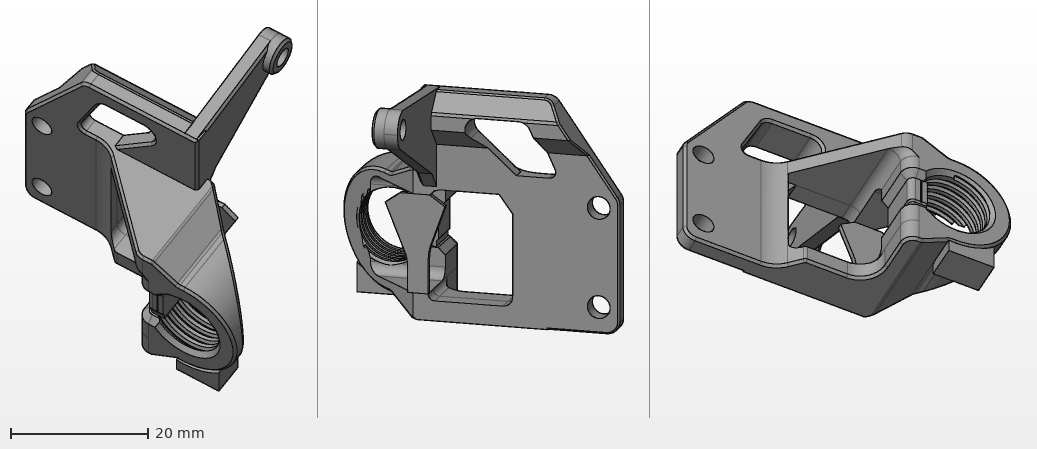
import cadquery as cq
import math

ARM_HEIGHT = 22.95
EDGE_CHAMFER = 0.4
BACK_CHAMFER = 0.3

PLATE_FRONT = 14.45
PLATE_BACK = 17.15
PLATE_RIGHT = 30.15
PLATE_TOP = 35.0
SLANT_BOTTOM_Z = 20.25
SLANT_TOP_X = 10.35
PLATE_CORNER_RADIUS = 2.0
SCREW_X = 3.15
SCREW_HEIGHTS = (4.0, 19.05)
SCREW_RADIUS = 1.7

BAND_BACK = 20.05
BAND_LOW = 26.8
BAND_FACE_LOW = 29.7
BAND_FACE_HIGH = 32.15

CUTOUT_TOP = 31.95
CUTOUT_LOW_LEFT = 9.15
CUTOUT_LOW_RIGHT = 15.6
CUTOUT_HIGH_LEFT = 13.25
CUTOUT_HIGH_RIGHT = 25.7
CUTOUT_LOW_RADIUS = 0.95
CUTOUT_HIGH_RADIUS = 1.9

LUG_LEFT = 27.7
LUG_EYE_Y = 34.95
LUG_EYE_Z = 33.73
LUG_EYE_RADIUS = 2.95
LUG_HOLE_RADIUS = 1.52
LUG_EYE_RIGHT = 31.7
LUG_KNEE = (19.7, 23.0)
LUG_FOOT_Z = 20.37

ARM_FRONT_SUM = 29.1
ARM_BACK_SUM = 48.45
ARM_ROOT_OVERLAP = 3.7
ARM_ROOT_FILLET = 5.1
ARM_NOSE_RADIUS = 2.15

RING_X = 37.15
RING_Z = ARM_HEIGHT / 2
RING_RADIUS = 9.05
BORE_RADIUS = 5.65
BORE_CHAMFER = 0.75
SHOULDER_X = 31.7
SHOULDER_FILLET = 0.8
NECK_FILLET = 0.92
NECK_X = 36.1
THREAD_PITCH = 1.4
THREAD_DEPTH = 0.5
THREAD_GROOVE_WIDTH = 0.85
THREAD_ROOT_WIDTH = 0.2
THREAD_OVERLAP = 0.1
THREAD_START_Y = 0.6
THREAD_LENGTH = 11.1

WINDOW_LEFT = 16.2
WINDOW_RIGHT = 29.0
WINDOW_FLOOR = 3.05
WINDOW_CEILING = 19.9
CEILING_FILLET = 1.95
FLOOR_FILLET = 1.5
BLOCK_CORNER_RADIUS = 2.05
FLOOR_EDGE_Y = 11.05
FLOOR_EDGE_FILLET = 4.05
FLOOR_EDGE_NOSE = 0.8
GUSSET_WIDTH = 2.05
GUSSET_HEIGHT = 2.75

SIDE_WINDOW_FRONT = 8.1
SIDE_WINDOW_FLOOR = 4.0
SIDE_WINDOW_CEILING = 19.05
SIDE_WINDOW_FILLET = 1.65
SIDE_WINDOW_OVERLAP = 0.45

MOUTH_LOW = 8.55
MOUTH_HIGH = 14.45
MOUTH_FLARE = 1.05
WEB_GAP = 0.15
WEB_RIGHT = 32.95
WEB_FOOT_HEIGHT = 1.1
WEB_FOOT_INSET = 0.3
WEB_GROOVE_X = 31.9
WEB_GROOVE_WIDTH = 0.2
WEB_GROOVE_DEPTH = 0.45

BRACE_X = 31.0
BRACE_THICKNESS = 0.8
BRACE_STEM_RIGHT = 32.1
BRACE_TOP_HALF = 2.2
BRACE_WING_HALF = 4.55
BRACE_WING_Z = 17.4
BRACE_WAIST_LEFT_Z = 10.4
BRACE_WAIST_RIGHT_Z = 9.0
BRACE_WAIST_RADIUS = 6.95

FOOT_LEFT = 35.9
FOOT_RIGHT = 43.3
FOOT_DEPTH = 5.1
FOOT_GAP = 0.25

MARGIN = 2.3
TINY = 0.005
REACH = 55.45


def box(x0, x1, y0, y1, z0, z1):
    """Axis-aligned box between the given limits."""
    return cq.Workplane("XY").box(x1 - x0, y1 - y0, z1 - z0, centered=False).translate((x0, y0, z0))


def front_profile(y):
    """Workplane facing -Y at depth y; it draws in (x, z) and a negative extrusion runs towards +Y."""
    return cq.Workplane("XZ", origin=(0, y, 0))


def tangent_point(point, center, radius, side):
    """Point where the line from `point` touches a circle; side is +1 or -1."""
    dx = point[0] - center[0]
    dy = point[1] - center[1]
    angle = math.atan2(dy, dx) + side * math.acos(radius / math.hypot(dx, dy))
    return (center[0] + radius * math.cos(angle), center[1] + radius * math.sin(angle))


def plate_outline(y):
    """Plate outline at depth y: a rectangle with its upper left corner cut off."""
    return front_profile(y).polyline([
        (0, 0), (PLATE_RIGHT, 0), (PLATE_RIGHT, PLATE_TOP), (SLANT_TOP_X, PLATE_TOP), (0, SLANT_BOTTOM_Z),
    ]).close()


def make_plate():
    """Flat plate with rounded left corners and chamfered rims."""
    plate = plate_outline(PLATE_FRONT).extrude(PLATE_FRONT - PLATE_BACK)
    plate = plate.edges("|Y").edges("<X or >(-1,0,1)").fillet(PLATE_CORNER_RADIUS)
    plate = plate.faces("<Y").chamfer(EDGE_CHAMFER)
    return plate.faces(">Y").edges("<X or <Z").chamfer(BACK_CHAMFER)


def make_band():
    """Bar across the back of the plate, cut off at the slanted edge."""
    rise = BAND_BACK - PLATE_BACK
    band = (
        cq.Workplane("YZ")
        .polyline([
            (PLATE_BACK, BAND_LOW), (BAND_BACK, BAND_FACE_LOW), (BAND_BACK, BAND_FACE_HIGH),
            (PLATE_BACK, BAND_FACE_HIGH + rise), (PLATE_FRONT + EDGE_CHAMFER, BAND_FACE_HIGH + rise),
            (PLATE_FRONT + EDGE_CHAMFER, BAND_LOW),
        ])
        .close()
        .extrude(LUG_LEFT)
    )
    limit = plate_outline(PLATE_FRONT).extrude(PLATE_FRONT - BAND_BACK)
    limit = limit.edges("|Y").edges(">(-1,0,1)").fillet(PLATE_CORNER_RADIUS)
    band = band.intersect(limit)
    slant_z = (BAND_FACE_LOW + BAND_FACE_HIGH) / 2
    slant_x = SLANT_TOP_X * (slant_z - SLANT_BOTTOM_Z) / (PLATE_TOP - SLANT_BOTTOM_Z)
    slant = cq.selectors.NearestToPointSelector((slant_x, PLATE_BACK, slant_z))
    rim = [edge for edge in band.faces(slant).edges().vals() if edge.Center().y > PLATE_BACK]
    ridge = band.faces(">Y").edges(">Z").vals()
    return band.newObject(rim + ridge).chamfer(BACK_CHAMFER)


def cutout_tool():
    """Slanted four-cornered opening through the upper plate and the band."""
    low = ARM_HEIGHT
    high = CUTOUT_TOP
    corners = [
        (CUTOUT_LOW_LEFT, low, CUTOUT_LOW_RADIUS),
        (CUTOUT_HIGH_LEFT, high, CUTOUT_HIGH_RADIUS),
        (CUTOUT_HIGH_RIGHT, high, CUTOUT_HIGH_RADIUS),
        (CUTOUT_LOW_RIGHT, low, 0),
    ]
    tool = front_profile(0).polyline([(x, z) for x, z, _ in corners]).close().extrude(-REACH)
    for x, z, radius in corners:
        if radius:
            corner_edge = cq.selectors.NearestToPointSelector((x, REACH / 2, z))
            tool = tool.edges("|Y").edges(corner_edge).fillet(radius)
    return tool


def screw_holes():
    """Two screw holes near the left side, through the plate."""
    centers = [(SCREW_X, z) for z in SCREW_HEIGHTS]
    return front_profile(0).pushPoints(centers).circle(SCREW_RADIUS).extrude(-REACH)


def make_back_plate():
    """Plate and band with the slanted opening and the two screw holes."""
    plate = make_plate().union(make_band()).cut(cutout_tool())
    rim = plate.faces("<Y").val().innerWires()[0]
    return plate.newObject(rim.Edges()).chamfer(EDGE_CHAMFER).cut(screw_holes())


def make_lug():
    """Tapered lug with a thicker eye at its end, drilled along X."""
    eye = (LUG_EYE_Y, LUG_EYE_Z)
    top_root = (PLATE_FRONT + EDGE_CHAMFER, PLATE_TOP)
    top_touch = tangent_point(top_root, eye, LUG_EYE_RADIUS, -1)
    low_touch = tangent_point(LUG_KNEE, eye, LUG_EYE_RADIUS, 1)
    arm = (
        cq.Workplane("YZ", origin=(LUG_LEFT, 0, 0))
        .moveTo(*top_root)
        .lineTo(*top_touch)
        .threePointArc((LUG_EYE_Y + LUG_EYE_RADIUS, LUG_EYE_Z), low_touch)
        .lineTo(*LUG_KNEE)
        .lineTo(PLATE_BACK, LUG_FOOT_Z)
        .lineTo(top_root[0], LUG_FOOT_Z)
        .close()
        .extrude(PLATE_RIGHT - LUG_LEFT)
        .faces(">X").edges("not(<Y or <Z)").chamfer(EDGE_CHAMFER)
    )
    eye_boss = (
        cq.Workplane("YZ", origin=(LUG_LEFT, 0, 0))
        .center(*eye)
        .circle(LUG_EYE_RADIUS)
        .extrude(LUG_EYE_RIGHT - LUG_LEFT)
        .faces(">X").chamfer(EDGE_CHAMFER)
    )
    hole = (
        cq.Workplane("YZ", origin=(LUG_LEFT, 0, 0))
        .center(*eye)
        .circle(LUG_HOLE_RADIUS)
        .extrude(LUG_EYE_RIGHT - LUG_LEFT)
    )
    return arm.union(eye_boss).cut(hole)


def arm_front_outline():
    """Prism along Y: flat top and bottom that narrow symmetrically to the ring."""
    low = RING_Z - RING_RADIUS
    high = RING_Z + RING_RADIUS
    prism = (
        front_profile(0)
        .moveTo(0, 0)
        .lineTo(SHOULDER_X, 0)
        .lineTo(NECK_X, low)
        .lineTo(RING_X, low)
        .threePointArc((RING_X + RING_RADIUS, RING_Z), (RING_X, high))
        .lineTo(NECK_X, high)
        .lineTo(SHOULDER_X, ARM_HEIGHT)
        .lineTo(0, ARM_HEIGHT)
        .close()
        .extrude(-PLATE_BACK)
    )
    bends = [
        (SHOULDER_X, 0, SHOULDER_FILLET), (NECK_X, low, NECK_FILLET),
        (NECK_X, high, NECK_FILLET), (SHOULDER_X, ARM_HEIGHT, SHOULDER_FILLET),
    ]
    for x, z, radius in bends:
        bend = cq.selectors.NearestToPointSelector((x, PLATE_BACK / 2, z))
        prism = prism.edges("|Y").edges(bend).fillet(radius)
    return prism


def arm_plan():
    """Prism along Z between the two slanted planes, filleted into the plate and round the nose."""
    root_start = ARM_FRONT_SUM - PLATE_FRONT
    buried_left = root_start - ARM_ROOT_OVERLAP
    plan = (
        cq.Workplane("XY")
        .polyline([
            (buried_left, PLATE_BACK), (buried_left, PLATE_FRONT), (root_start, PLATE_FRONT),
            (ARM_FRONT_SUM, 0), (ARM_BACK_SUM, 0), (ARM_BACK_SUM - PLATE_BACK, PLATE_BACK),
        ])
        .close()
        .extrude(ARM_HEIGHT)
    )
    root = cq.selectors.NearestToPointSelector((root_start, PLATE_FRONT, RING_Z))
    nose = cq.selectors.NearestToPointSelector((ARM_FRONT_SUM, 0, RING_Z))
    return plan.edges(root).fillet(ARM_ROOT_FILLET).edges(nose).fillet(ARM_NOSE_RADIUS)


def block_side_plan(z, start):
    """Plan sketch from `start` along the left side of the ring block and round its front corner."""
    mid = BLOCK_CORNER_RADIUS * (1 - math.sqrt(0.5))
    corner_end_x = WINDOW_RIGHT + BLOCK_CORNER_RADIUS
    return (
        cq.Workplane("XY", origin=(0, 0, z))
        .moveTo(*start)
        .lineTo(WINDOW_RIGHT, BLOCK_CORNER_RADIUS)
        .threePointArc((WINDOW_RIGHT + mid, mid), (corner_end_x, 0))
        .lineTo(corner_end_x, -MARGIN)
        .lineTo(WINDOW_LEFT, -MARGIN)
    )


def window_tool():
    """Front window: left of the ring block, between its floor and its ceiling."""
    height = WINDOW_CEILING - WINDOW_FLOOR
    back = PLATE_BACK + MARGIN
    step = SIDE_WINDOW_FLOOR - WINDOW_FLOOR
    tool = (
        block_side_plan(WINDOW_FLOOR, (WINDOW_RIGHT, back))
        .lineTo(WINDOW_LEFT, back)
        .close()
        .extrude(height)
    )
    block_top = cq.selectors.NearestToPointSelector((WINDOW_RIGHT, back / 2, WINDOW_CEILING))
    tool = tool.edges(block_top).fillet(CEILING_FILLET)
    floor_left = cq.selectors.NearestToPointSelector((WINDOW_LEFT, back / 2, WINDOW_FLOOR))
    floor_right = cq.selectors.NearestToPointSelector((WINDOW_RIGHT, back / 2, WINDOW_FLOOR))
    return tool.edges(floor_left).fillet(FLOOR_FILLET).edges(floor_right).fillet(step)


def floor_edge_tool():
    """Space in front of the window floor, whose front edge is set back from the slanted arm front.

    It widens at the bottom, which chamfers the lower edges of the floor and of the ring block.
    """
    corner_x = ARM_FRONT_SUM - FLOOR_EDGE_Y
    height = WINDOW_FLOOR + FLOOR_FILLET
    nose_cut = FLOOR_EDGE_NOSE * math.tan(math.pi / 8)
    nose_start = (corner_x - nose_cut * math.sqrt(0.5), FLOOR_EDGE_Y + nose_cut * math.sqrt(0.5))
    nose_end = (corner_x + nose_cut, FLOOR_EDGE_Y)
    inner_start = (WINDOW_RIGHT - FLOOR_EDGE_FILLET, FLOOR_EDGE_Y)
    inner_end = (WINDOW_RIGHT, FLOOR_EDGE_Y - FLOOR_EDGE_FILLET)

    def plan(z):
        return (
            block_side_plan(z, inner_end)
            .lineTo(WINDOW_LEFT, ARM_FRONT_SUM - WINDOW_LEFT)
            .lineTo(*nose_start)
            .tangentArcPoint(nose_end, relative=False)
            .lineTo(*inner_start)
            .tangentArcPoint(inner_end, relative=False)
            .close()
        )

    flare = plan(EDGE_CHAMFER).extrude(-EDGE_CHAMFER, taper=-45)
    return plan(0).extrude(height).union(flare)


def chamfer_arm(arm):
    """Chamfer the front outline and the front edges of the top and bottom faces."""
    def is_exposed(edge):
        middle = edge.Center()
        upright = edge.geomType() == "LINE" and abs(edge.tangentAt(0).z) > 0.45 - TINY
        on_front = edge.BoundingBox().ymax < TINY and not upright
        on_level = min(abs(middle.z), abs(middle.z - ARM_HEIGHT)) < TINY
        ahead_of_plate = middle.y < PLATE_FRONT + TINY
        left_of_shoulder = middle.x < SHOULDER_X - SHOULDER_FILLET
        return on_front or (on_level and ahead_of_plate and left_of_shoulder)

    return arm.newObject([edge for edge in arm.edges().vals() if is_exposed(edge)]).chamfer(EDGE_CHAMFER)


def chamfer_slanted_back(arm):
    """Chamfer the slanted rear rim from the shoulder round the ring."""
    def is_rear(edge):
        middle = edge.Center()
        ends = (edge.startPoint(), edge.endPoint())
        on_slant = all(abs(p.x + p.y - ARM_BACK_SUM) < TINY for p in ends)
        return on_slant and middle.x > SHOULDER_X - SHOULDER_FILLET and middle.y < PLATE_BACK - TINY

    return arm.newObject([edge for edge in arm.edges().vals() if is_rear(edge)]).chamfer(EDGE_CHAMFER)


def mouth_tool():
    """Slot through the left side of the ring block into the bore."""
    return box(WINDOW_LEFT, RING_X, -MARGIN, SIDE_WINDOW_FRONT + MARGIN, MOUTH_LOW, MOUTH_HIGH)


def flare_mouth(arm):
    """Chamfer the lips of the mouth on the left side, the corner and the front of the block."""
    def is_lip(edge):
        ends = (edge.startPoint(), edge.endPoint())
        level = any(all(abs(p.z - z) < TINY for p in ends) for z in (MOUTH_LOW, MOUTH_HIGH))
        middle = edge.Center()
        on_front = middle.y < BLOCK_CORNER_RADIUS / 2
        on_left = abs(middle.x - WINDOW_RIGHT) < TINY
        return level and (on_front or on_left)

    return arm.newObject([edge for edge in arm.edges().vals() if is_lip(edge)]).chamfer(MOUTH_FLARE)


def side_window_tool():
    """Opening along X behind the ring block, open to the back; its front corners are rounded."""
    tool = box(WINDOW_RIGHT - SIDE_WINDOW_OVERLAP, REACH, SIDE_WINDOW_FRONT, PLATE_BACK + MARGIN,
               SIDE_WINDOW_FLOOR, SIDE_WINDOW_CEILING)
    return tool.edges("|X and <Y").fillet(SIDE_WINDOW_FILLET)


def bore_tool():
    """Bore with a chamfered front mouth."""
    center = (RING_X, RING_Z)
    bore = front_profile(0).center(*center).circle(BORE_RADIUS).extrude(-PLATE_BACK)
    mouth = cq.Solid.makeCone(
        BORE_RADIUS + BORE_CHAMFER, BORE_RADIUS, BORE_CHAMFER,
        pnt=cq.Vector(RING_X, 0, RING_Z), dir=cq.Vector(0, 1, 0),
    )
    return bore.union(cq.Workplane(mouth))


def thread_tool():
    """Helical groove with sloped flanks around the bore."""
    inner = BORE_RADIUS - THREAD_OVERLAP
    depth = THREAD_DEPTH + THREAD_OVERLAP
    half = THREAD_GROOVE_WIDTH / 2
    root_half = THREAD_ROOT_WIDTH / 2
    axis_point = cq.Vector(RING_X, THREAD_START_Y, RING_Z)
    path = cq.Wire.makeHelix(THREAD_PITCH, THREAD_LENGTH, inner, center=axis_point, dir=cq.Vector(0, 1, 0))
    start = path.startPoint()
    outward = start - axis_point
    profile_plane = cq.Plane(origin=start, xDir=outward, normal=cq.Vector(0, 1, 0).cross(outward))
    return (
        cq.Workplane(profile_plane)
        .polyline([(0, -half), (0, half), (depth, root_half), (depth, -root_half)])
        .close()
        .sweep(cq.Workplane(path), isFrenet=True)
    )


def make_arm():
    """Arm with its rims chamfered, the front window, the mouth and the threaded bore."""
    arm = arm_plan().intersect(arm_front_outline())
    arm = chamfer_slanted_back(chamfer_arm(arm))
    arm = arm.cut(window_tool().union(floor_edge_tool()))
    arm = flare_mouth(arm.cut(mouth_tool()))
    return arm.cut(bore_tool()).cut(thread_tool())


def make_web():
    """Web hanging from the upper lip of the mouth, with a gap above the lower lip."""
    left = WINDOW_RIGHT + MOUTH_FLARE
    bottom = MOUTH_LOW + WEB_GAP
    foot_top = bottom + WEB_FOOT_HEIGHT
    corner = BLOCK_CORNER_RADIUS - MOUTH_FLARE

    def slab(inset, low, high):
        body = box(left + inset, WEB_RIGHT, MOUTH_FLARE + inset, SIDE_WINDOW_FRONT, low, high)
        return body.edges("|Z and <X and <Y").fillet(corner - inset)

    panel = slab(0, foot_top - WEB_FOOT_INSET, MOUTH_HIGH)
    panel = panel.faces("<Z").edges("<X or <Y or %CIRCLE").chamfer(WEB_FOOT_INSET)
    web = panel.union(slab(WEB_FOOT_INSET, bottom, foot_top))
    groove = box(WEB_GROOVE_X, WEB_GROOVE_X + WEB_GROOVE_WIDTH, MOUTH_FLARE,
                 MOUTH_FLARE + WEB_GROOVE_DEPTH, foot_top, MOUTH_HIGH)
    return web.cut(groove)


def make_gusset():
    """Triangle in the upper left corner of the window, as thick as the plate."""
    return (
        front_profile(PLATE_FRONT)
        .polyline([
            (WINDOW_LEFT, WINDOW_CEILING), (WINDOW_LEFT + GUSSET_WIDTH, WINDOW_CEILING),
            (WINDOW_LEFT, WINDOW_CEILING - GUSSET_HEIGHT),
        ])
        .close()
        .extrude(PLATE_FRONT - PLATE_BACK)
    )


def make_bracket():
    """Plate, lug and arm in one piece, with the windows cut through all of them."""
    bracket = make_back_plate().union(make_lug()).union(make_arm())
    bracket = bracket.cut(window_tool()).cut(side_window_tool())
    return bracket.union(make_gusset()).union(make_web())


def make_brace():
    """Thin upright fan between the floor and the ceiling of the side window, at its back."""
    wing_left = BRACE_X - BRACE_WING_HALF
    wing_right = BRACE_X + BRACE_WING_HALF
    waists = [(WINDOW_RIGHT, BRACE_WAIST_LEFT_Z), (BRACE_STEM_RIGHT, BRACE_WAIST_RIGHT_Z)]
    brace = (
        front_profile(PLATE_BACK - BRACE_THICKNESS)
        .polyline([
            (WINDOW_RIGHT, SIDE_WINDOW_FLOOR), waists[0], (wing_left, BRACE_WING_Z),
            (BRACE_X - BRACE_TOP_HALF, SIDE_WINDOW_CEILING), (BRACE_X + BRACE_TOP_HALF, SIDE_WINDOW_CEILING),
            (wing_right, BRACE_WING_Z), waists[1], (BRACE_STEM_RIGHT, SIDE_WINDOW_FLOOR),
        ])
        .close()
        .extrude(-BRACE_THICKNESS)
    )
    for x, z in waists:
        waist = cq.selectors.NearestToPointSelector((x, PLATE_BACK, z))
        brace = brace.edges("|Y").edges(waist).fillet(BRACE_WAIST_RADIUS)
    return brace


def make_foot():
    """Block under the ring, hollowed to follow the ring at a small gap."""
    clearance = front_profile(0).center(RING_X, RING_Z).circle(RING_RADIUS + FOOT_GAP).extrude(-REACH)
    return box(FOOT_LEFT, FOOT_RIGHT, 0, FOOT_DEPTH, 0, RING_Z).cut(clearance)


bracket = make_bracket()
brace = make_brace()
foot = make_foot()
result = cq.Compound.makeCompound([bracket.val(), brace.val(), foot.val()])